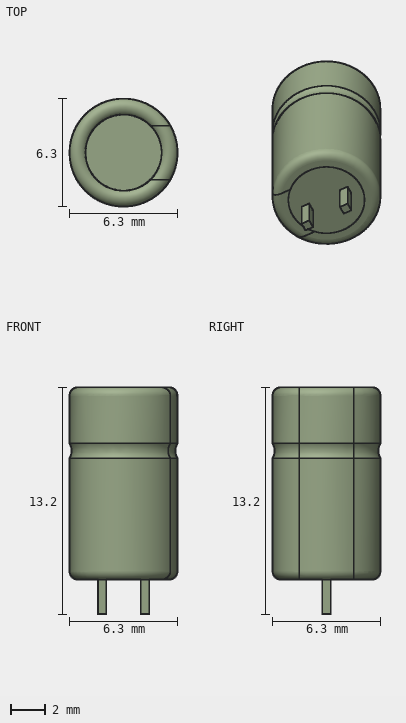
import cadquery as cq
import math

can_diameter = 6.3
can_height = 11.2
can_radius = can_diameter / 2

rim_radius = 0.5
rim_center_radius = can_radius - rim_radius
core_recess = 0.25
core_height = can_height - core_recess
core_radius = rim_center_radius - math.sqrt(rim_radius**2 - (rim_radius - core_recess) ** 2)

groove_center_height = 7.5
groove_width = 0.87
groove_depth = 0.12

strip_width = can_diameter / 2

lead_size = 0.5
lead_length = 2.0
lead_spacing = 2.5


def make_shell():
    """Full ring around the core, before it is divided into sleeve and strip."""
    diagonal = rim_radius * math.sqrt(0.5)
    groove_bottom = groove_center_height - groove_width / 2
    groove_top = groove_center_height + groove_width / 2
    rim_center_height = can_height - rim_radius
    return (
        cq.Workplane("XZ")
        .moveTo(core_radius, 0)
        .lineTo(rim_center_radius, 0)
        .threePointArc(
            (rim_center_radius + diagonal, rim_radius - diagonal),
            (can_radius, rim_radius),
        )
        .lineTo(can_radius, groove_bottom)
        .threePointArc(
            (can_radius - groove_depth, groove_center_height),
            (can_radius, groove_top),
        )
        .lineTo(can_radius, rim_center_height)
        .threePointArc(
            (rim_center_radius, can_height),
            (core_radius, core_height),
        )
        .close()
        .revolve(360, (0, 0, 0), (0, 1, 0))
    )


def make_strip_region():
    """Block that bounds the polarity strip, from the can axis outward along +X."""
    return cq.Workplane("XY").box(
        can_diameter, strip_width, can_height, centered=(False, True, False)
    )


def make_lead(x):
    """Square lead hanging from the underside of the core."""
    return (
        cq.Workplane("XY")
        .center(x, 0)
        .rect(lead_size, lead_size)
        .extrude(-lead_length)
    )


shell = make_shell()
strip_region = make_strip_region()
sleeve = shell.cut(strip_region).solids()
strip = shell.intersect(strip_region).solids()
core = cq.Workplane("XY").circle(core_radius).extrude(core_height)
leads = [make_lead(side * lead_spacing / 2) for side in (-1, 1)]

result = cq.Compound.makeCompound(
    [sleeve.val(), strip.val(), core.val(), *[lead.val() for lead in leads]]
)